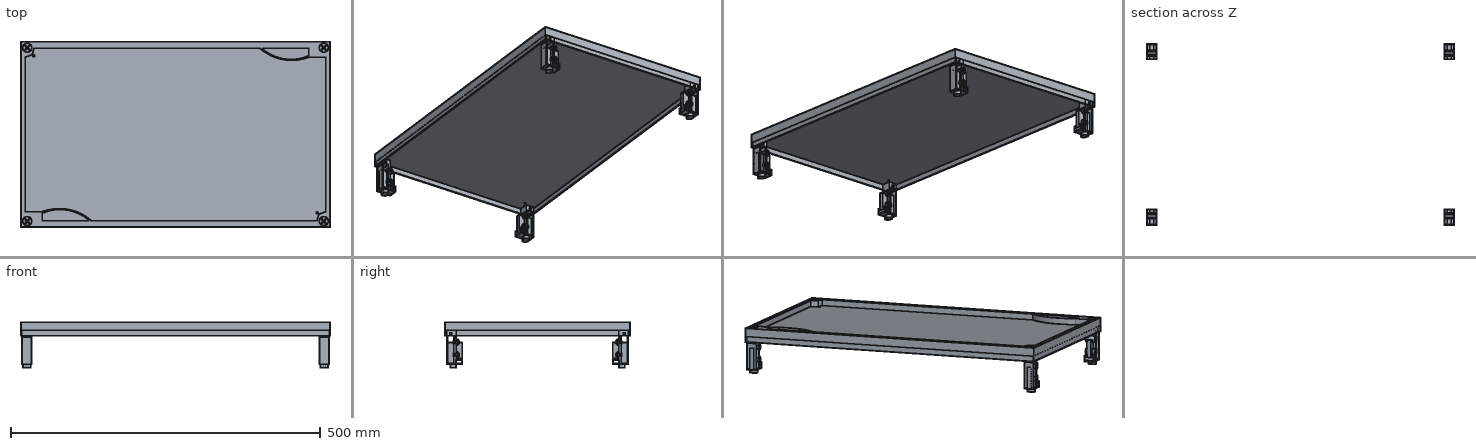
import cadquery as cq
import math


FRAME_LENGTH = 500.0
FRAME_WIDTH = 300.0
FRAME_HEIGHT = 22.5
OVERALL_HEIGHT = 74.23
SKIRT_WALL = 1.6
DECK_UNDERSIDE = -13.7
TRAY_DEPTH = 9.7
TRAY_HALF_LENGTH = FRAME_LENGTH / 2 - 6.8
TRAY_HALF_WIDTH = FRAME_WIDTH / 2 - 10.2
STEP_END_Y = 125.0
CORNER_STEP_X = 232.0
CORNER_STEP_Y = 129.0
CORNER_START_X = 228.6
DRAIN_X = 229.0
DRAIN_Y = 127.0
DRAIN_DIAMETER = 2.5

ARC_CENTRE_X = 186.8
ARC_CREST_Y = 119.8
ARC_RADIUS = 74.4
ARC_WALL = 1.6
ARC_CENTRE_Y = ARC_CREST_Y + ARC_RADIUS
POCKET_OUTER_X = 215.8
POCKET_INNER_X = 140.9

SCREW_X = 239.8
SCREW_Y = 140.2
HEAD_RADIUS = 7.2
HEAD_HEIGHT = 4.0
HEAD_DOME = 1.0
SHANK_RADIUS = 3.0
SHANK_END = -20.0
CROSS_LENGTH = 9.0
CROSS_WIDTH = 0.9
CROSS_DEPTH = 2.0

LEG_WIDTH = 15.8
LEG_X = FRAME_LENGTH / 2 - SKIRT_WALL - LEG_WIDTH / 2
LEG_CORE_WIDTH = 6.8
LEG_OUTER_Y = 147.0
LEG_INNER_Y = 121.3
LEG_BOTTOM = -68.6
OUTER_WALL = 1.9
NECK_RELIEF = 0.5
NECK_BOTTOM = -24.6
WEB_OUTER_Y = 135.2
WEB_INNER_Y = 131.6
CORE_TOP = -33.0
FLANGE_TOP = -59.0
FLANGE_BOTTOM = -61.8
FOOT_THICKNESS = 1.8
FOOT_LIP = 1.6
EYE_Y = 131.6
EYE_HEIGHTS = (-32.6, -53.1)
EYE_RADIUS = 5.0
EYE_HOLE_RADIUS = 1.9
HEAD_SLOT_WIDTH = 3.4
HEAD_SLOT_TOP = -17.0
HEAD_SLOT_BOTTOM = -20.5
HEAD_SLOT_DEPTH = 2.0
NUB_LENGTH = 12.9
NUB_WIDTH = 9.7
NUB_Y = 136.6

CORNERS = [(side_x, side_y) for side_x in (-1, 1) for side_y in (-1, 1)]


def block(x_range, y_range, z_range):
    """Box between the given limits."""
    size = [high - low for low, high in (x_range, y_range, z_range)]
    return cq.Workplane("XY").box(*size, centered=False).translate((x_range[0], y_range[0], z_range[0]))


def arc_height(x, radius):
    """Y of the pocket arc at x, in the corner where X and Y are negative."""
    return -ARC_CENTRE_Y + math.sqrt(radius**2 - (x + ARC_CENTRE_X) ** 2)


def arc_x_at(y, radius):
    """X of the pocket arc's inner end at y, in the corner where X and Y are negative."""
    return -ARC_CENTRE_X + math.sqrt(radius**2 - (y + ARC_CENTRE_Y) ** 2)


def tray_cutter():
    """Recess inside the rim, with curved grip walls and slanted corner posts."""
    grip_start = (-POCKET_OUTER_X, -STEP_END_Y)
    grip_crest = (-ARC_CENTRE_X, -ARC_CREST_Y)
    grip_end = (arc_x_at(-TRAY_HALF_WIDTH, ARC_RADIUS), -TRAY_HALF_WIDTH)

    def opposite(point):
        return (-point[0], -point[1])

    corner_start = (CORNER_START_X, -TRAY_HALF_WIDTH)
    corner_step = (CORNER_STEP_X, -CORNER_STEP_Y)
    corner_end = (TRAY_HALF_LENGTH, -STEP_END_Y)
    step_end = (-TRAY_HALF_LENGTH, -STEP_END_Y)
    outline = (
        cq.Workplane("XY")
        .moveTo(*step_end)
        .lineTo(*grip_start)
        .threePointArc(grip_crest, grip_end)
        .lineTo(*corner_start)
        .lineTo(*corner_step)
        .lineTo(*corner_end)
        .lineTo(*opposite(step_end))
        .lineTo(*opposite(grip_start))
        .threePointArc(opposite(grip_crest), opposite(grip_end))
        .lineTo(*opposite(corner_start))
        .lineTo(*opposite(corner_step))
        .lineTo(*opposite(corner_end))
        .close()
    )
    return outline.extrude(-TRAY_DEPTH)


def finger_pocket():
    """Pocket between the rim and the curved grip wall, in the corner where X and Y are negative."""
    radius = ARC_RADIUS - ARC_WALL
    return (
        cq.Workplane("XY")
        .moveTo(-POCKET_OUTER_X, -TRAY_HALF_WIDTH)
        .lineTo(-POCKET_OUTER_X, arc_height(-POCKET_OUTER_X, radius))
        .threePointArc(
            (-ARC_CENTRE_X, -ARC_CENTRE_Y + radius),
            (-POCKET_INNER_X, arc_height(-POCKET_INNER_X, radius)),
        )
        .lineTo(-POCKET_INNER_X, -TRAY_HALF_WIDTH)
        .close()
        .extrude(-TRAY_DEPTH)
    )


def make_frame():
    """Shallow tray with a thin skirt around its hollow underside."""
    frame = cq.Workplane("XY").rect(FRAME_LENGTH, FRAME_WIDTH).extrude(-FRAME_HEIGHT)
    hollow = (
        cq.Workplane("XY")
        .workplane(offset=DECK_UNDERSIDE)
        .rect(FRAME_LENGTH - 2 * SKIRT_WALL, FRAME_WIDTH - 2 * SKIRT_WALL)
        .extrude(DECK_UNDERSIDE)
    )
    frame = frame.cut(hollow).cut(tray_cutter())
    for turn in (0, 180):
        frame = frame.cut(finger_pocket().rotate((0, 0, 0), (0, 0, 1), turn))
    drains = (
        cq.Workplane("XY")
        .pushPoints([(DRAIN_X, -DRAIN_Y), (-DRAIN_X, DRAIN_Y)])
        .circle(DRAIN_DIAMETER / 2)
        .extrude(DECK_UNDERSIDE)
    )
    screw_points = [(side_x * SCREW_X, side_y * SCREW_Y) for side_x, side_y in CORNERS]
    seats = cq.Workplane("XY").pushPoints(screw_points).circle(HEAD_RADIUS).extrude(-HEAD_HEIGHT)
    holes = cq.Workplane("XY").pushPoints(screw_points).circle(SHANK_RADIUS).extrude(DECK_UNDERSIDE)
    return frame.cut(drains).cut(seats).cut(holes)


def make_screw(side_x, side_y):
    """Domed cross-head screw, flush with the rim and ending in the leg."""
    dome_sphere_radius = (HEAD_RADIUS**2 + HEAD_DOME**2) / (2 * HEAD_DOME)
    mid_radius = HEAD_RADIUS / 2
    mid_height = math.sqrt(dome_sphere_radius**2 - mid_radius**2) - dome_sphere_radius
    screw = (
        cq.Workplane("XZ")
        .moveTo(0, 0)
        .threePointArc((mid_radius, mid_height), (HEAD_RADIUS, -HEAD_DOME))
        .lineTo(HEAD_RADIUS, -HEAD_HEIGHT)
        .lineTo(SHANK_RADIUS, -HEAD_HEIGHT)
        .lineTo(SHANK_RADIUS, SHANK_END)
        .lineTo(0, SHANK_END)
        .close()
        .revolve(360, (0, 0, 0), (0, 1, 0))
    )
    for angle in (45, -45):
        slot = cq.Workplane("XY").rect(CROSS_LENGTH, CROSS_WIDTH).extrude(-CROSS_DEPTH)
        screw = screw.cut(slot.rotate((0, 0, 0), (0, 0, 1), angle))
    return screw.translate((side_x * SCREW_X, side_y * SCREW_Y, 0))


def make_leg(side_x, side_y):
    """Hooked leg: full-width walls around a thinner core, with two eyes and a foot nub."""
    full = (-LEG_WIDTH / 2, LEG_WIDTH / 2)
    core = (-LEG_CORE_WIDTH / 2, LEG_CORE_WIDTH / 2)
    foot_top = LEG_BOTTOM + FOOT_THICKNESS
    outer_wall_y = LEG_OUTER_Y - OUTER_WALL
    neck_y = LEG_OUTER_Y - NECK_RELIEF

    leg = block(full, (WEB_INNER_Y, neck_y), (-FRAME_HEIGHT, DECK_UNDERSIDE))
    leg = leg.union(block(full, (outer_wall_y, neck_y), (NECK_BOTTOM, -FRAME_HEIGHT)))
    leg = leg.union(block(full, (outer_wall_y, LEG_OUTER_Y), (LEG_BOTTOM, NECK_BOTTOM)))
    leg = leg.union(block(full, (WEB_INNER_Y, WEB_OUTER_Y), (LEG_BOTTOM, -FRAME_HEIGHT)))
    leg = leg.union(block(core, (WEB_OUTER_Y, outer_wall_y), (LEG_BOTTOM, CORE_TOP)))
    leg = leg.union(block(core, (LEG_INNER_Y, WEB_INNER_Y), (FLANGE_TOP, CORE_TOP)))
    leg = leg.union(block(full, (LEG_INNER_Y, WEB_INNER_Y), (FLANGE_BOTTOM, FLANGE_TOP)))
    leg = leg.union(block(full, (LEG_INNER_Y, LEG_INNER_Y + FOOT_LIP), (LEG_BOTTOM, FLANGE_BOTTOM)))
    leg = leg.union(block(full, (LEG_INNER_Y, LEG_OUTER_Y), (LEG_BOTTOM, foot_top)))

    eye_points = [(EYE_Y, height) for height in EYE_HEIGHTS]
    eye_plane = cq.Workplane("YZ").workplane(offset=-LEG_WIDTH / 2).pushPoints(eye_points)
    leg = leg.union(eye_plane.circle(EYE_RADIUS).extrude(LEG_WIDTH))
    leg = leg.cut(eye_plane.circle(EYE_HOLE_RADIUS).extrude(LEG_WIDTH))

    slot_y = (SCREW_Y - HEAD_SLOT_WIDTH / 2, SCREW_Y + HEAD_SLOT_WIDTH / 2)
    for face_x in full:
        slot_x = sorted((face_x, face_x - math.copysign(HEAD_SLOT_DEPTH, face_x)))
        leg = leg.cut(block(slot_x, slot_y, (HEAD_SLOT_BOTTOM, HEAD_SLOT_TOP)))

    nub = cq.Workplane("XY").slot2D(NUB_LENGTH, NUB_WIDTH).extrude(OVERALL_HEIGHT + LEG_BOTTOM)
    leg = leg.union(nub.translate((0, NUB_Y, -OVERALL_HEIGHT)))
    socket_x = side_x * (SCREW_X - LEG_X)
    socket = cq.Workplane("XY").center(socket_x, SCREW_Y).circle(SHANK_RADIUS).extrude(SHANK_END)
    leg = leg.cut(socket)

    if side_y < 0:
        leg = leg.mirror("XZ")
    return leg.translate((side_x * LEG_X, 0, 0))


frame = make_frame()
screws = [make_screw(side_x, side_y) for side_x, side_y in CORNERS]
legs = [make_leg(side_x, side_y) for side_x, side_y in CORNERS]

result = cq.Compound.makeCompound(
    [frame.val()] + [screw.val() for screw in screws] + [leg.val() for leg in legs]
)